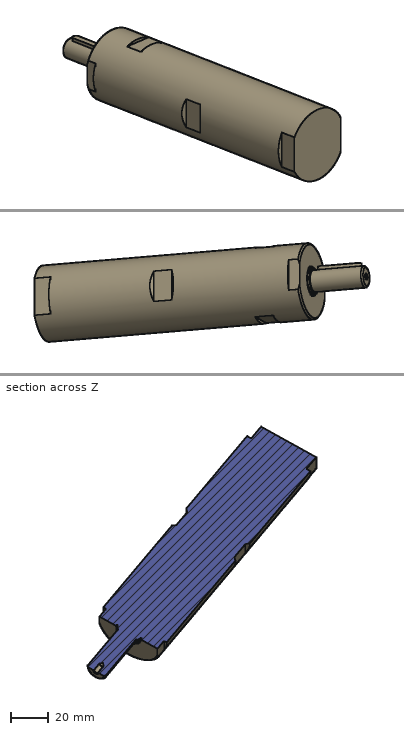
import cadquery as cq

total_length = 184.3
body_diameter = 41.5
body_start = 31.1
front_chamfer = 1.0
body_radius = body_diameter / 2

shaft_diameter = 12.0
shaft_chamfer = 1.0
countersink_diameter = 3.5
pilot_diameter = 2.5
pilot_depth = 5.5
key_start = 2.8
key_length = 25.0
key_width = 4.0
key_top = 7.5

collar_diameter = 14.2
ring_diameter = 15.0
collar_start = 30.0

recess_diameter = 16.0
recess_depth = 1.0

flat_distance = 19.0
front_flat_length = 6.3
upper_flat_start = 50.7
flat_length = 10.1
middle_flat_start = 104.9
rear_flat_distance = 18.0
rear_flat_length = 9.4


def cylinder(start, end, diameter):
    """Solid cylinder on the X axis."""
    return cq.Workplane("YZ", origin=(start, 0, 0)).circle(diameter / 2).extrude(end - start)


def flat_pair(start, length, distance, flare=0):
    """Cutters for two opposite flats facing -Y and +Y; flare slopes both end walls outward at 45 degrees."""
    depth = body_radius - distance
    end = start + length
    spread = depth * flare
    profile = [
        (start, distance),
        (end, distance),
        (end + spread, body_radius),
        (start - spread, body_radius),
    ]
    cutter = cq.Workplane("XY").polyline(profile).close().extrude(body_radius, both=True)
    return cutter.union(cutter.mirror("XZ"))


body = cylinder(body_start, total_length, body_diameter).faces("<X").chamfer(front_chamfer)
body = body.cut(flat_pair(body_start, front_flat_length, flat_distance))
upper_flats = flat_pair(upper_flat_start, flat_length, flat_distance)
body = body.cut(upper_flats.rotate((0, 0, 0), (1, 0, 0), 90))
body = body.cut(flat_pair(middle_flat_start, flat_length, flat_distance, flare=1))
body = body.cut(flat_pair(total_length - rear_flat_length, rear_flat_length, rear_flat_distance))

recess_floor = body_start + recess_depth
shaft = cylinder(0, recess_floor, shaft_diameter).faces("<X").chamfer(shaft_chamfer)
body = body.cut(cylinder(body_start, recess_floor, recess_diameter))
collar = cylinder(collar_start, recess_floor, collar_diameter)
collar = collar.union(cylinder(body_start, recess_floor, ring_diameter))

key = (
    cq.Workplane("XY")
    .center(key_start + key_length / 2, 0)
    .slot2D(key_length, key_width)
    .extrude(key_top)
)

countersink_radius = countersink_diameter / 2
pilot_radius = pilot_diameter / 2
hole_profile = [
    (0, 0),
    (0, countersink_radius),
    (countersink_radius - pilot_radius, pilot_radius),
    (pilot_depth, pilot_radius),
    (pilot_depth + pilot_radius, 0),
]
center_hole = cq.Workplane("XY").polyline(hole_profile).close().revolve(360, (0, 0, 0), (1, 0, 0))

result = body.union(collar).union(shaft).union(key).cut(center_hole)